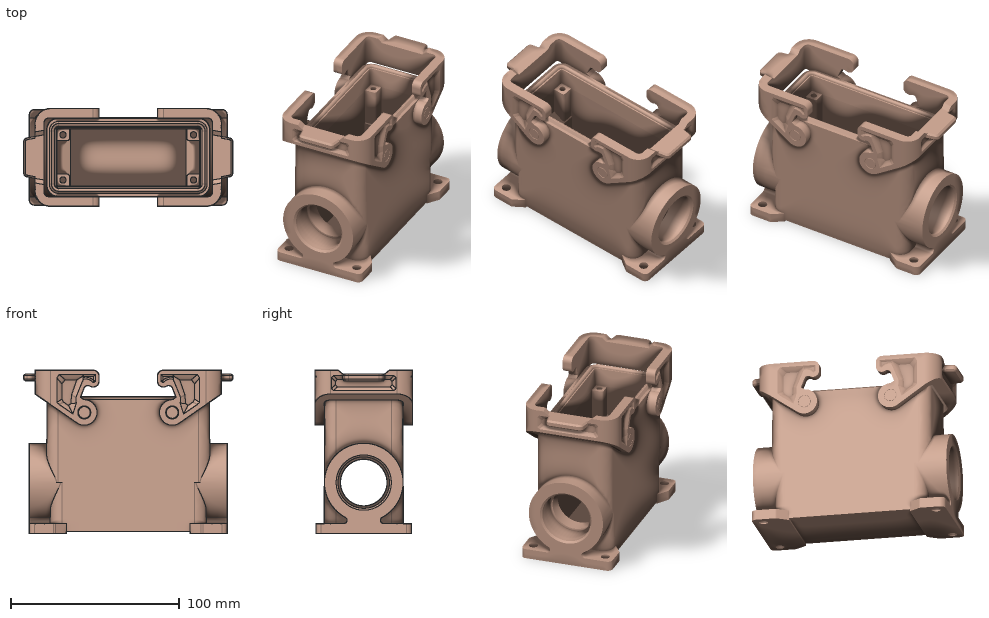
import cadquery as cq
import math

BODY_LENGTH = 97.2
BODY_WIDTH = 47.1
BODY_CORNER = 7.1
BODY_DRAFT = 0.35
WAIST_LENGTH = 92.5
BODY_BOTTOM = 1.2
RIM_Z = 79.6

CAVITY_LENGTH = 84.3
CAVITY_WIDTH = 33.7
CAVITY_CORNER = 0.6
MOUTH_Z = 69.0
MOUTH_FLARE = 4.0
FLOOR_Z = 3.7
FLOOR_LENGTH = 68.5
DECK_LOW_Z = 45.9
DECK_HIGH_Z = 50.6

BEAD_LENGTH = 93.5
BEAD_WIDTH = 42.7
BEAD_CORNER = 5.6
BEAD_HEIGHT = 1.6
BEAD_BASE = 3.0
BEAD_OUTER_RUN = 1.2
BEAD_ROUND = 1.5

POST_INNER_X = 34.8
POST_INNER_Y = 9.9
POST_CORNER = 1.2
POST_HOLE_X = 38.7
POST_HOLE_Y = 13.4
POST_HOLE = 3.7
POST_HOLE_DEPTH = 12.4

ENTRY_Z = 30.3
ENTRY_RADIUS = 23.3
ENTRY_END_X = 58.7
ENTRY_ROOT_X = 39.2
BORE_RADIUS = 15.3
BORE_CHAMFER = 1.1
BORE_STEP_X = 43.4
THROUGH_RADIUS = 13.8

FOOT_WIDTH = 56.7
FOOT_HEIGHT = 6.0
FOOT_CORNER = 3.1
FOOT_STRAIGHT_X = 43.6
FOOT_INNER_X = 36.6
FOOT_BLEND = 1.9
FOOT_HOLE = 5.5
FOOT_HOLE_X = 52.3
FOOT_HOLE_Y = 22.6
WEB_FILLET = 2.0

LEVER_TOP = 96.8
LEVER_END_X = 55.2
LEVER_INNER_X = 49.8
LEVER_WIDTH = 58.0
LEVER_INNER_WIDTH = 46.6
LEVER_CORNER = 9.2
LEVER_INNER_CORNER = 2.7
LEVER_HEEL_Z = 82.7
PIVOT_X = 26.0
PIVOT_Z = 71.8
PIVOT_RADIUS = 7.6
PIN_RADIUS = 3.8
PIN_GROOVE = 0.4
PIN_ROOT_Y = 21.1
HOOK_END_X = 17.2
HOOK_RADIUS = 3.6
THROAT_X = 23.9
THROAT_Z = 85.3
HOOK_LOWER_Z = 90.4
HOOK_ROOT_X = 28.3
HOOK_ROOT_Z = 80.7

ARM_RECESS_DEPTH = 2.0
ARM_RECESS_MOUTH = [
    (-42.3, 92.3), (-40.9, 94.2), (-25.4, 94.2), (-31.0, 80.8),
    (-30.8, 77.4), (-32.7, 70.9), (-40.9, 76.5), (-42.3, 77.9),
]
ARM_RECESS_FLOOR = [
    (-39.3, 88.8), (-37.3, 91.1), (-30.5, 91.1), (-33.6, 82.1),
    (-34.0, 77.0), (-35.5, 76.0), (-38.3, 77.9), (-39.3, 79.6),
]
HOOK_RECESS_DEPTH = 0.7
HOOK_RECESS_TAPER = 55
HOOK_RECESS = [
    (-27.3, 94.2), (-19.5, 94.2), (-19.5, 90.3), (-20.6, 89.4),
    (-22.6, 91.0), (-24.7, 91.6), (-27.3, 91.5),
]

TAB_END_X = 62.0
TAB_TOP = 94.6
TAB_THICKNESS = 4.1
TAB_END_HALF = 11.2
TAB_ROOT_HALF = 13.4
TAB_CORNER = 2.5
TAB_EDGE = 1.0
NOTCH_FLARE = 50
END_RECESS_WIDTH = 38.2
END_RECESS_HEIGHT = 8.9
END_RECESS_Z = 89.2
END_RECESS_CORNER = 1.2
END_RECESS_DEPTH = 1.5
END_RECESS_SLOPE_RUN = 2.2


def rounded_block(length, width, corner, bottom, top, draft=0.0):
    """Block centred on Z with rounded vertical edges; positive draft narrows it upwards."""
    outline = cq.Sketch().rect(length, width).vertices().fillet(corner)
    base = cq.Workplane("XY").workplane(offset=bottom)
    return base.placeSketch(outline).extrude(top - bottom, taper=draft)


def x_cylinder(radius, start, end):
    """Cylinder on the axis of the cable entries."""
    return cq.Workplane("YZ").workplane(offset=start).center(0, ENTRY_Z).circle(radius).extrude(end - start)


def both_ends(left):
    return left.union(left.mirror("YZ"))


def shell():
    upper = rounded_block(BODY_LENGTH, BODY_WIDTH, BODY_CORNER, BODY_BOTTOM, RIM_Z, BODY_DRAFT)
    waist = rounded_block(WAIST_LENGTH, BODY_WIDTH, BODY_CORNER, BODY_BOTTOM, RIM_Z, BODY_DRAFT)
    above_axis = (
        cq.Workplane("XY").workplane(offset=ENTRY_Z)
        .rect(BODY_LENGTH, BODY_WIDTH).extrude(RIM_Z - ENTRY_Z)
    )
    return waist.union(upper.intersect(above_axis))


def bead():
    """Ring on the rim with a sloping outer flank and a rounded inner one."""
    outer_draft = math.degrees(math.atan(BEAD_OUTER_RUN / BEAD_HEIGHT))
    top = RIM_Z + BEAD_HEIGHT
    outer = rounded_block(BEAD_LENGTH, BEAD_WIDTH, BEAD_CORNER, RIM_Z, top, outer_draft)
    opening_length = BEAD_LENGTH - 2 * BEAD_BASE
    opening_width = BEAD_WIDTH - 2 * BEAD_BASE
    opening = rounded_block(opening_length, opening_width, BEAD_CORNER - BEAD_BASE, RIM_Z, top)
    ring = outer.cut(opening)
    inner_edges = ring.faces(">Z").val().innerWires()[0].Edges()
    return ring.newObject(inner_edges).fillet(BEAD_ROUND)


def cavity():
    """Wide mouth above a pocket that narrows to a well between the thick end walls."""
    half_length = CAVITY_LENGTH / 2
    half_floor = FLOOR_LENGTH / 2
    pocket = (
        cq.Workplane("XZ")
        .polyline([
            (-half_floor, FLOOR_Z), (half_floor, FLOOR_Z), (half_floor, DECK_LOW_Z),
            (half_length, DECK_HIGH_Z), (half_length, MOUTH_Z),
            (-half_length, MOUTH_Z), (-half_length, DECK_HIGH_Z), (-half_floor, DECK_LOW_Z),
        ]).close()
        .extrude(CAVITY_WIDTH / 2, both=True)
    )
    mouth = rounded_block(CAVITY_LENGTH, CAVITY_WIDTH, CAVITY_CORNER, MOUTH_Z, RIM_Z, -MOUTH_FLARE)
    return pocket.union(mouth)


def left_post(side):
    """Post in a left corner of the cavity, on the +Y or -Y side, merged into both walls."""
    length = CAVITY_LENGTH / 2 - POST_INNER_X
    width = CAVITY_WIDTH / 2 - POST_INNER_Y
    block = (
        cq.Workplane("XY")
        .workplane(offset=FLOOR_Z)
        .center(-POST_INNER_X - length / 2, side * (POST_INNER_Y + width / 2))
        .rect(length, width).extrude(MOUTH_Z - FLOOR_Z)
    )
    middle_z = (FLOOR_Z + MOUTH_Z) / 2
    inner_edge = cq.selectors.NearestToPointSelector((-POST_INNER_X, side * POST_INNER_Y, middle_z))
    block = block.edges(inner_edge).fillet(POST_CORNER)
    hole = (
        cq.Workplane("XY").workplane(offset=MOUTH_Z)
        .center(-POST_HOLE_X, side * POST_HOLE_Y).circle(POST_HOLE / 2).extrude(-POST_HOLE_DEPTH)
    )
    return block.cut(hole)


def entry_bore():
    """Stepped bore of the left cable entry, with a chamfered mouth."""
    bore = x_cylinder(BORE_RADIUS, -ENTRY_END_X, -BORE_STEP_X)
    through = x_cylinder(THROUGH_RADIUS, -ENTRY_END_X, -FLOOR_LENGTH / 2)
    mouth = (
        cq.Workplane("YZ").workplane(offset=-ENTRY_END_X).center(0, ENTRY_Z)
        .circle(BORE_RADIUS + BORE_CHAMFER)
        .workplane(offset=BORE_CHAMFER).circle(BORE_RADIUS).loft()
    )
    return bore.union(through).union(mouth)


def entry_web():
    """Web between foot and entry, its flanks rounded tangent to both."""
    fillet_z = FOOT_HEIGHT + WEB_FILLET
    reach = ENTRY_RADIUS + WEB_FILLET
    drop = ENTRY_Z - fillet_z
    fillet_y = math.sqrt(reach ** 2 - drop ** 2)
    touch_y = fillet_y * ENTRY_RADIUS / reach
    touch_z = ENTRY_Z - drop * ENTRY_RADIUS / reach
    length = ENTRY_END_X - ENTRY_ROOT_X
    face = cq.Workplane("YZ").workplane(offset=-ENTRY_END_X)
    web = face.polyline([
        (-fillet_y, 0), (fillet_y, 0), (fillet_y, fillet_z),
        (touch_y, touch_z), (-touch_y, touch_z), (-fillet_y, fillet_z),
    ]).close().extrude(length)
    fillet_centres = [(-fillet_y, fillet_z), (fillet_y, fillet_z)]
    flanks = face.pushPoints(fillet_centres).circle(WEB_FILLET).extrude(length)
    return web.cut(flanks)


def foot():
    half = FOOT_WIDTH / 2
    half_body = BODY_WIDTH / 2
    plate = (
        cq.Workplane("XY")
        .polyline([
            (-ENTRY_END_X, -half), (-FOOT_STRAIGHT_X, -half), (-FOOT_INNER_X, -half_body),
            (-FOOT_INNER_X, half_body), (-FOOT_STRAIGHT_X, half), (-ENTRY_END_X, half),
        ]).close().extrude(FOOT_HEIGHT)
    )
    plate = plate.edges("|Z and <X").fillet(FOOT_CORNER)
    plate = plate.edges("|Z and (<Y or >Y)").edges(">X").fillet(FOOT_BLEND)
    holes = (
        cq.Workplane("XY").pushPoints([(-FOOT_HOLE_X, -FOOT_HOLE_Y), (-FOOT_HOLE_X, FOOT_HOLE_Y)])
        .circle(FOOT_HOLE / 2).extrude(FOOT_HEIGHT)
    )
    return plate.cut(holes)


def tangent_point(point, centre, radius, side):
    """Where the tangent from a point touches a circle; side (+1 or -1) picks one of the two."""
    dx = point[0] - centre[0]
    dz = point[1] - centre[1]
    angle = math.atan2(dz, dx) + side * math.acos(radius / math.hypot(dx, dz))
    return polar_point(centre, radius, angle)


def polar_point(centre, radius, angle):
    return centre[0] + radius * math.cos(angle), centre[1] + radius * math.sin(angle)


def lever_side():
    """Solid with the left lever's side outline, hook and pivot eye, over the full width."""
    pivot = (-PIVOT_X, PIVOT_Z)
    heel = (-LEVER_END_X, LEVER_HEEL_Z)
    root = (-HOOK_ROOT_X, HOOK_ROOT_Z)
    tip_x = -HOOK_END_X - HOOK_RADIUS
    upper = (tip_x, LEVER_TOP - HOOK_RADIUS)
    lower = (tip_x, HOOK_LOWER_Z)
    throat = (-THROAT_X, THROAT_Z)

    throat_radius = math.dist(throat, lower) - HOOK_RADIUS
    rise = math.atan2(lower[1] - throat[1], lower[0] - throat[0])
    meeting = polar_point(throat, throat_radius, rise)
    throat_end = tangent_point(root, throat, throat_radius, -1)
    arm = (
        cq.Workplane("XZ")
        .moveTo(*tangent_point(heel, pivot, PIVOT_RADIUS, 1))
        .lineTo(*heel)
        .lineTo(-LEVER_END_X, LEVER_TOP)
        .lineTo(tip_x, LEVER_TOP)
        .threePointArc(polar_point(upper, HOOK_RADIUS, math.pi / 4), (-HOOK_END_X, upper[1]))
        .lineTo(-HOOK_END_X, HOOK_LOWER_Z)
        .threePointArc(polar_point(lower, HOOK_RADIUS, -math.pi / 3), meeting)
        .threePointArc(polar_point(throat, throat_radius, math.pi * 0.6), throat_end)
        .lineTo(*root)
        .lineTo(-PIVOT_X, PIVOT_Z + PIVOT_RADIUS)
        .lineTo(*pivot)
        .close().extrude(LEVER_WIDTH / 2, both=True)
    )
    eye = cq.Workplane("XZ").center(*pivot).circle(PIVOT_RADIUS).extrude(LEVER_WIDTH / 2, both=True)
    return arm.union(eye)


def lever_frame():
    """U-shaped lever: two arms joined by the end wall, open towards the middle of the shell."""
    bottom = PIVOT_Z - PIVOT_RADIUS
    outer = rounded_block(2 * LEVER_END_X, LEVER_WIDTH, LEVER_CORNER, bottom, LEVER_TOP)
    inner = rounded_block(2 * LEVER_INNER_X, LEVER_INNER_WIDTH, LEVER_INNER_CORNER, bottom, LEVER_TOP)
    return lever_side().intersect(outer.cut(inner))


def arm_recess():
    """Tapered recesses in the front arm: a main pocket and a shallow one running into the hook."""
    face = cq.Workplane("XZ", origin=(0, -LEVER_WIDTH / 2, 0))
    main = (
        face.polyline(ARM_RECESS_MOUTH).close()
        .workplane(offset=-ARM_RECESS_DEPTH).polyline(ARM_RECESS_FLOOR).close().loft(ruled=True)
    )
    hook = face.polyline(HOOK_RECESS).close().extrude(-HOOK_RECESS_DEPTH, taper=HOOK_RECESS_TAPER)
    return main.union(hook)


def pin_groove():
    """Ring that sets off the pivot pin from the eye of the front arm."""
    return (
        cq.Workplane("XZ", origin=(-PIVOT_X, -LEVER_WIDTH / 2, PIVOT_Z))
        .circle(PIN_RADIUS).circle(PIN_RADIUS - PIN_GROOVE).extrude(-PIN_GROOVE)
    )


def front_pin():
    """Pivot pin that carries the front arm, rooted in the side wall of the shell."""
    return (
        cq.Workplane("XZ", origin=(-PIVOT_X, -PIN_ROOT_Y, PIVOT_Z))
        .circle(PIN_RADIUS).extrude(LEVER_WIDTH / 2 - PIN_ROOT_Y)
    )


def end_recess():
    """Tapered recess in the outer face of the end wall."""
    shrink = 2 * END_RECESS_SLOPE_RUN
    inwards = cq.Location(cq.Vector(0, 0, END_RECESS_DEPTH))
    mouth = cq.Sketch().rect(END_RECESS_WIDTH, END_RECESS_HEIGHT).vertices().chamfer(END_RECESS_CORNER)
    bottom = (
        cq.Sketch().rect(END_RECESS_WIDTH - shrink, END_RECESS_HEIGHT - shrink)
        .vertices().chamfer(END_RECESS_CORNER)
    )
    return (
        cq.Workplane("YZ", origin=(-LEVER_END_X, 0, END_RECESS_Z))
        .placeSketch(mouth, bottom.moved(inwards)).loft()
    )


def tab_outline(height):
    """Trapezoid from the inner face of the end wall to the outer edge of the tab."""
    return (
        cq.Workplane("XY").workplane(offset=height)
        .polyline([
            (-LEVER_INNER_X, -TAB_ROOT_HALF), (-LEVER_INNER_X, TAB_ROOT_HALF),
            (-TAB_END_X, TAB_END_HALF), (-TAB_END_X, -TAB_END_HALF),
        ]).close()
    )


def notch():
    """Gap in the top of the end wall above the tab, flaring upwards."""
    return tab_outline(TAB_TOP).extrude(LEVER_TOP - TAB_TOP, taper=-NOTCH_FLARE)


def tab():
    plate = tab_outline(TAB_TOP - TAB_THICKNESS).extrude(TAB_THICKNESS)
    plate = plate.edges("|Z and <X").fillet(TAB_CORNER)
    return plate.faces("<Z or >Z").edges("not >X").chamfer(TAB_EDGE)


def lever():
    front_cuts = arm_recess().union(pin_groove())
    pin = front_pin()
    frame = lever_frame().union(pin).union(pin.mirror("XZ"))
    frame = frame.cut(front_cuts).cut(front_cuts.mirror("XZ"))
    return frame.cut(end_recess()).cut(notch()).union(tab())


entry = x_cylinder(ENTRY_RADIUS, -ENTRY_END_X, -ENTRY_ROOT_X)
left_end = entry.union(entry_web()).union(foot())
left_posts = left_post(1).union(left_post(-1))
housing = shell().union(bead()).union(both_ends(left_end))
housing = housing.cut(cavity()).union(both_ends(left_posts))
housing = housing.cut(both_ends(entry_bore()))
result = housing.union(both_ends(lever()))